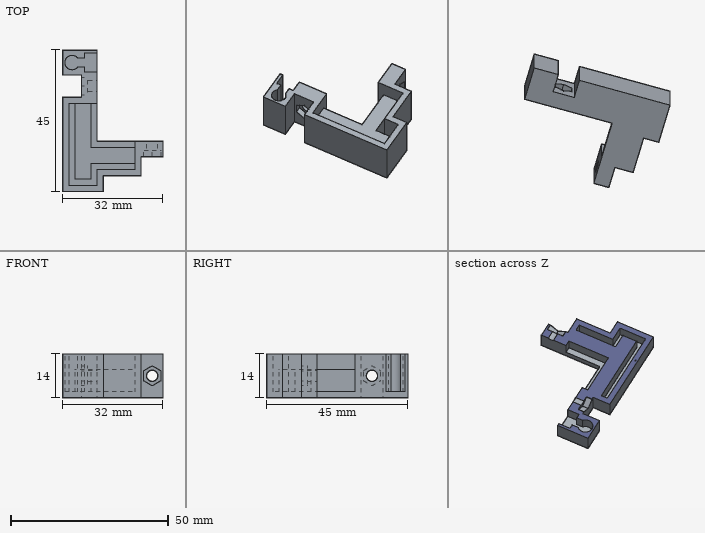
import cadquery as cq
import math

length_x = 32.0
length_y = 45.0
height = 14.0

wall = 2.0
leg_width = 11.0
foot_width = 13.0
foot_length = 5.0
branch_end_x = 25.0
branch_top_y = 16.0
leg_end_y = 30.0

tab_thickness = 5.0
tab_length = length_x - branch_end_x
clip_start_y = leg_end_y + tab_length

rib_depth = 5.0
floor_thickness = 2.0

bulb_x = 3.0
bulb_radius = 2.3
neck_width = 2.95
recess_start_x = 7.0
recess_width = 6.0
clip_wall = 1.0

screw_diameter = 3.5
nut_flats = 5.5
nut_depth = 2.0


def block(x0, x1, y0, y1, z0, z1):
    """Box between two opposite corners."""
    return cq.Workplane("XY").box(x1 - x0, y1 - y0, z1 - z0, centered=False).translate((x0, y0, z0))


def make_body():
    tab_x = leg_width - tab_thickness
    tab_y = branch_top_y - tab_thickness
    outline = [
        (0, 0), (foot_width, 0), (foot_width, foot_length),
        (branch_end_x, foot_length), (branch_end_x, tab_y),
        (length_x, tab_y), (length_x, branch_top_y), (leg_width, branch_top_y),
        (leg_width, length_y), (0, length_y), (0, clip_start_y),
        (tab_x, clip_start_y), (tab_x, leg_end_y), (0, leg_end_y),
    ]
    return cq.Workplane("XY").polyline(outline).close().extrude(height)


def make_trough():
    """Pocket that leaves the outer walls, the floor and the raised rib."""
    trough_end_x = branch_end_x - wall
    trough_end_y = leg_end_y - wall
    leg = block(wall, leg_width, wall, trough_end_y, floor_thickness, height)
    branch = block(wall, trough_end_x, foot_length + wall, branch_top_y, floor_thickness, height)

    rib_margin = 2 * wall
    rib_right_x = leg_width - wall
    rib_top = height - rib_depth
    leg_rib = block(rib_margin, rib_right_x, rib_margin, trough_end_y, 0, rib_top)
    branch_rib = block(
        rib_margin, trough_end_x, foot_length + rib_margin, branch_top_y - wall, 0, rib_top
    )
    return leg.union(branch).cut(leg_rib).cut(branch_rib)


def make_keyhole():
    """Round bulb, narrow neck and wide recess opening on the +X side."""
    center_y = length_y - clip_wall - recess_width / 2
    bulb = (
        cq.Workplane("XY", origin=(bulb_x, center_y, floor_thickness))
        .circle(bulb_radius)
        .extrude(height - floor_thickness)
    )
    half_neck = neck_width / 2
    half_recess = recess_width / 2
    neck = block(
        bulb_x, recess_start_x, center_y - half_neck, center_y + half_neck, floor_thickness, height
    )
    recess = block(
        recess_start_x, leg_width, center_y - half_recess, center_y + half_recess,
        floor_thickness, height,
    )
    return bulb.union(neck).union(recess)


def make_screw_hole():
    """Screw hole along +Z from the origin, its nut pocket corners on the Y axis."""
    nut_corners = nut_flats / math.cos(math.pi / 6)
    hole = cq.Workplane("XY").circle(screw_diameter / 2).extrude(tab_thickness)
    nut = cq.Workplane("XY").transformed(rotate=(0, 0, 90)).polygon(6, nut_corners).extrude(nut_depth)
    return hole.union(nut)


hole_along_y = make_screw_hole().rotate((0, 0, 0), (1, 0, 0), -90)
hole_along_x = hole_along_y.rotate((0, 0, 0), (0, 0, 1), -90)
branch_tab_hole = hole_along_y.translate(
    (branch_end_x + tab_length / 2, branch_top_y - tab_thickness, height / 2)
)
leg_tab_hole = hole_along_x.translate(
    (leg_width - tab_thickness, leg_end_y + tab_length / 2, height / 2)
)

result = make_body().cut(make_trough()).cut(make_keyhole())
result = result.cut(branch_tab_hole).cut(leg_tab_hole)